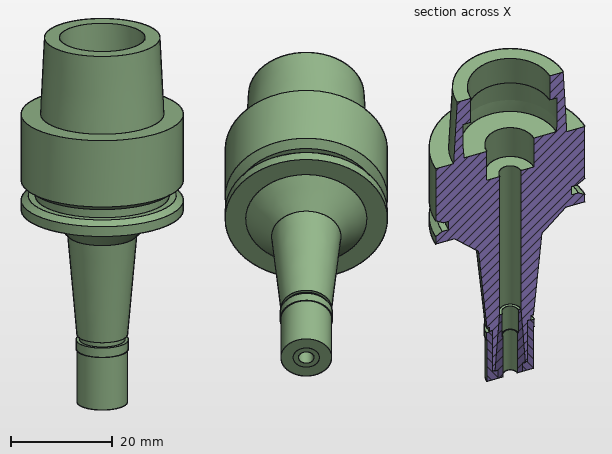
import cadquery as cq
import math


TOTAL_HEIGHT = 76.0
FLANGE_TOP = 60.05
FLANGE_BOTTOM = 40.05
FLANGE_DIAMETER = 32.0
FLANGE_RADIUS = FLANGE_DIAMETER / 2
SHANK_BASE_RADIUS = 12.15
SHANK_TOP_RADIUS = 11.4

GROOVE_RADIUS = 13.2
GROOVE_TOP = 45.1
GROOVE_TOP_RADIUS = 14.3
GROOVE_TOP_CHAMFER = 1.15
GROOVE_BOTTOM = 43.0
GROOVE_BOTTOM_RADIUS = 14.6
GROOVE_BOTTOM_CHAMFER = 0.9

NECK_TOP = 34.95
NECK_TOP_RADIUS = 6.85
NECK_BOTTOM = 14.05
NECK_BOTTOM_RADIUS = 5.0
CONE_TOP_RADIUS = NECK_TOP_RADIUS + FLANGE_BOTTOM - NECK_TOP
RELIEF_RADIUS = 4.5

MOUTH_RADIUS = 8.4
MOUTH_DEPTH = 6.45
UNDERCUT_RADIUS = 10.0
UNDERCUT_DEPTH = 12.5
FLOOR_DEPTH = 15.2
FLOOR_DRAFT = 4.4
FLOOR_RADIUS = UNDERCUT_RADIUS - (FLOOR_DEPTH - UNDERCUT_DEPTH) * math.tan(math.radians(FLOOR_DRAFT))
COUNTERBORE_RADIUS = 5.0
COUNTERBORE_DEPTH = 22.8
THROUGH_DIAMETER = 4.5
THROUGH_RADIUS = THROUGH_DIAMETER / 2

NUT_HEIGHT = 13.0
NUT_RADIUS = 5.0
NUT_RING_RADIUS = 5.2
NUT_RING_HEIGHT = 2.0
NUT_LIP = 2.3
NUT_MOUTH_RADIUS = 2.6
NOSE_RADIUS = 3.8

COLLET_TOP = 16.7
COLLET_BASE_RADIUS = 3.2
COLLET_TOP_RADIUS = THROUGH_RADIUS
TOOL_RADIUS = 1.5
COLLET_RELIEF_RADIUS = 1.7
COLLET_RELIEF_DEPTH = 6.1


def turned(points):
    """Revolve a closed (radius, height) outline about the Z axis."""
    return cq.Workplane("YZ").polyline(points).close().revolve(360, (0, 0, 0), (0, 1, 0))


def make_holder():
    outside = [
        (RELIEF_RADIUS, NUT_HEIGHT),
        (RELIEF_RADIUS, NECK_BOTTOM),
        (NECK_BOTTOM_RADIUS, NECK_BOTTOM),
        (NECK_TOP_RADIUS, NECK_TOP),
        (CONE_TOP_RADIUS, FLANGE_BOTTOM),
        (FLANGE_RADIUS, FLANGE_BOTTOM),
        (FLANGE_RADIUS, GROOVE_BOTTOM - GROOVE_BOTTOM_CHAMFER),
        (GROOVE_BOTTOM_RADIUS, GROOVE_BOTTOM),
        (GROOVE_RADIUS, GROOVE_BOTTOM),
        (GROOVE_RADIUS, GROOVE_TOP),
        (GROOVE_TOP_RADIUS, GROOVE_TOP),
        (FLANGE_RADIUS, GROOVE_TOP + GROOVE_TOP_CHAMFER),
        (FLANGE_RADIUS, FLANGE_TOP),
        (SHANK_BASE_RADIUS, FLANGE_TOP),
        (SHANK_TOP_RADIUS, TOTAL_HEIGHT),
    ]
    bore = [
        (MOUTH_RADIUS, TOTAL_HEIGHT),
        (MOUTH_RADIUS, TOTAL_HEIGHT - MOUTH_DEPTH),
        (UNDERCUT_RADIUS, TOTAL_HEIGHT - MOUTH_DEPTH),
        (UNDERCUT_RADIUS, TOTAL_HEIGHT - UNDERCUT_DEPTH),
        (FLOOR_RADIUS, TOTAL_HEIGHT - FLOOR_DEPTH),
        (COUNTERBORE_RADIUS, TOTAL_HEIGHT - FLOOR_DEPTH),
        (COUNTERBORE_RADIUS, TOTAL_HEIGHT - COUNTERBORE_DEPTH),
        (THROUGH_RADIUS, TOTAL_HEIGHT - COUNTERBORE_DEPTH),
        (COLLET_TOP_RADIUS, COLLET_TOP),
    ]
    nose = [
        (COLLET_BASE_RADIUS, NUT_LIP),
        (NOSE_RADIUS, NUT_LIP),
        (NOSE_RADIUS, NUT_HEIGHT),
    ]
    return turned(outside + bore + nose)


def make_nut():
    ring_bottom = NUT_HEIGHT - NUT_RING_HEIGHT
    return turned([
        (NUT_MOUTH_RADIUS, 0),
        (NUT_RADIUS, 0),
        (NUT_RADIUS, ring_bottom),
        (NUT_RING_RADIUS, ring_bottom),
        (NUT_RING_RADIUS, NUT_HEIGHT),
        (NOSE_RADIUS, NUT_HEIGHT),
        (NOSE_RADIUS, NUT_LIP),
        (NUT_MOUTH_RADIUS, NUT_LIP),
    ])


def make_collet():
    relief_bottom = COLLET_TOP - COLLET_RELIEF_DEPTH
    return turned([
        (TOOL_RADIUS, 0),
        (NUT_MOUTH_RADIUS, 0),
        (NUT_MOUTH_RADIUS, NUT_LIP),
        (COLLET_BASE_RADIUS, NUT_LIP),
        (COLLET_TOP_RADIUS, COLLET_TOP),
        (COLLET_RELIEF_RADIUS, COLLET_TOP),
        (COLLET_RELIEF_RADIUS, relief_bottom),
        (TOOL_RADIUS, relief_bottom),
    ])


holder = make_holder()
nut = make_nut()
collet = make_collet()

result = cq.Compound.makeCompound([holder.val(), nut.val(), collet.val()])